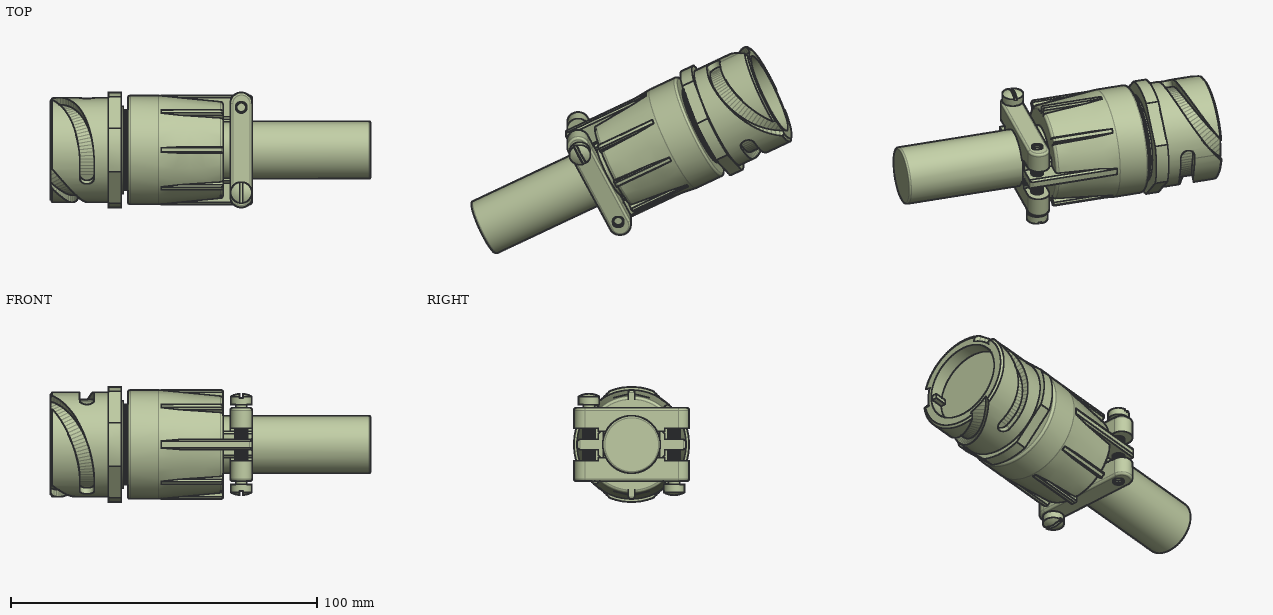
import cadquery as cq
import math


body_radius = 17.1
body_end = 18.9
rim_chamfer_axial = 0.6
rim_chamfer_radial = 0.9
bore_radius = 13.46
bore_depth = 5.0
key_tip_radius = 11.7
key_width = 1.7
key_front = 0.5

groove_count = 3
groove_width = 4.7
groove_floor_radius = 14.75
groove_cut_radius = body_radius + 1.5
groove_end_x = 11.9
groove_end_angle = math.radians(152.5)
groove_level_arc = 5.5
groove_curvature = 0.01275
groove_start_x = -4.0
groove_step_count = 32

flange_radius = 18.84
flange_across_flats = 34.72
flange_end = 23.1

collar_radius = 14.35
collar_end = 23.75
neck_radius = 13.2
neck_groove_radius = 12.8
neck_groove_width = 0.3
neck_groove_pitch = 0.45
neck_groove_count = 3

shell_radius = 17.8
shell_start = 25.25
shell_taper_start = 35.2
shell_end = 56.35
shell_end_radius = 15.75
shell_front_fillet = 0.8
shell_rear_fillet = 1.0

rib_count = 8
rib_start = 36.2
rib_width = 2.1
rib_root_radius = 14.0
rib_chamfer_width = 0.4
rib_end_fillet = 0.7
crest_chamfer_height = 0.75
lug_width = 3.3
lug_end = 65.8
lug_chamfer_width = 0.6
lug_end_fillet = 0.9
tongue_width = 8.6
tongue_root_radius = 9.2
tongue_outer_radius = 10.9
tongue_chamfer = 0.85

cable_radius = 9.4
cable_end = 104.44
cable_fillet = 0.6

bar_x = 62.25
bar_end_radius = 3.6
bar_half_length = 18.82
bar_top = 12.0
bar_bottom = 5.25
bar_fillet = 0.8
tip_hole_radius = 1.86
tip_hole_depth = 0.6
tip_bore_radius = 1.5
tip_bore_depth = 1.4

screw_y = 13.9
screw_head_radius = 3.45
screw_head_bottom = 13.0
screw_head_rim = 15.65
screw_head_top = 16.6
screw_slot_width = 1.0
screw_slot_depth = 1.4
screw_neck_radius = 1.85
thread_radius = 2.05
thread_groove_radius = 1.75
thread_pitch = 0.5
thread_groove_width = 0.25

overlap = 0.5


def x_cylinder(start, end, radius):
    return cq.Workplane("YZ", origin=(start, 0, 0)).circle(radius).extrude(end - start)


def block(x0, x1, y0, y1, z0, z1):
    return cq.Workplane("XY").box(x1 - x0, y1 - y0, z1 - z0, centered=False).translate((x0, y0, z0))


def z_cylinder(x, y, z0, z1, radius):
    return cq.Workplane("XY", origin=(x, y, z0)).circle(radius).extrude(z1 - z0)


def turned(shape, angle):
    return shape.rotate((0, 0, 0), (1, 0, 0), angle)


def make_body():
    body = (
        cq.Workplane("XY")
        .moveTo(0, 0)
        .lineTo(0, body_radius - rim_chamfer_radial)
        .lineTo(rim_chamfer_axial, body_radius)
        .lineTo(body_end + overlap, body_radius)
        .lineTo(body_end + overlap, 0)
        .close()
        .revolve(360, (0, 0, 0), (1, 0, 0))
    )
    body = body.cut(x_cylinder(0, bore_depth, bore_radius))
    key = block(
        key_front, bore_depth + overlap,
        key_tip_radius, bore_radius + overlap,
        -key_width / 2, key_width / 2,
    )
    return body.union(key)


def groove_path_point(arc_from_end):
    """Axial place and angle of the groove centre line, a given arc length before its closed end."""
    curved_arc = max(0.0, arc_from_end - groove_level_arc)
    x = groove_end_x - groove_curvature * curved_arc**2
    slope = 2 * groove_curvature * curved_arc
    angle = groove_end_angle - arc_from_end / body_radius
    return x, angle, slope


def groove_section(arc_from_end):
    """Four-cornered cross-section of the groove, square to its path."""
    x, angle, slope = groove_path_point(arc_from_end)
    outward = cq.Vector(0, -math.sin(angle), math.cos(angle))
    around = cq.Vector(0, -math.cos(angle), -math.sin(angle))
    across = (cq.Vector(1, 0, 0) - around * slope).normalized() * (groove_width / 2)
    centre = cq.Vector(x, 0, 0)
    floor = centre + outward * groove_floor_radius
    top = centre + outward * groove_cut_radius
    corners = [floor - across, floor + across, top + across, top - across]
    return cq.Wire.makePolygon(corners, close=True)


def make_groove_cutter():
    curved_arc = math.sqrt((groove_end_x - groove_start_x) / groove_curvature)
    path_arc = curved_arc + groove_level_arc
    sections = [
        groove_section(path_arc * step / groove_step_count)
        for step in range(groove_step_count + 1)
    ]
    channel = cq.Workplane(obj=cq.Solid.makeLoft(sections, True))
    round_end = z_cylinder(groove_end_x, 0, groove_floor_radius, groove_cut_radius, groove_width / 2)
    return channel.union(turned(round_end, math.degrees(groove_end_angle)))


def make_flange():
    disc = x_cylinder(body_end, flange_end, flange_radius)
    square = (
        cq.Workplane("YZ", origin=(body_end, 0, 0))
        .rect(flange_across_flats, flange_across_flats)
        .extrude(flange_end - body_end)
    )
    return disc.intersect(turned(square, 45))


def make_neck():
    collar = x_cylinder(flange_end - overlap, collar_end, collar_radius)
    neck = x_cylinder(flange_end - overlap, shell_start + overlap, neck_radius)
    for index in range(neck_groove_count):
        start = collar_end + neck_groove_pitch * index
        ring = x_cylinder(start, start + neck_groove_width, body_radius)
        neck = neck.cut(ring.cut(x_cylinder(start, start + neck_groove_width, neck_groove_radius)))
    return collar.union(neck)


def make_shell():
    shell = (
        cq.Workplane("XY")
        .moveTo(shell_start, 0)
        .lineTo(shell_start, shell_radius)
        .lineTo(shell_taper_start, shell_radius)
        .lineTo(shell_end, shell_end_radius)
        .lineTo(shell_end, 0)
        .close()
        .revolve(360, (0, 0, 0), (1, 0, 0))
    )
    shell = shell.faces("<X").edges().fillet(shell_front_fillet)
    return shell.faces(">X").edges().fillet(shell_rear_fillet)


def upright_bar(end, width, chamfer_width, end_fillet):
    """Bar standing on the +Z side, with a chamfered crest level with the shell and a rounded end."""
    half_width = width / 2
    half_crest = half_width - chamfer_width
    shoulder = shell_radius - crest_chamfer_height
    return (
        cq.Workplane("YZ", origin=(rib_start, 0, 0))
        .moveTo(-half_width, rib_root_radius)
        .lineTo(-half_width, shoulder)
        .lineTo(-half_crest, shell_radius)
        .lineTo(half_crest, shell_radius)
        .lineTo(half_width, shoulder)
        .lineTo(half_width, rib_root_radius)
        .close()
        .extrude(end - rib_start)
        .edges(">X and >Z").fillet(end_fillet)
    )


def make_rib():
    return upright_bar(shell_end, rib_width, rib_chamfer_width, rib_end_fillet)


def make_lug():
    """Rib on the +Z side that runs on past the shell, joined to the cable by a web and a tongue."""
    crest = upright_bar(lug_end, lug_width, lug_chamfer_width, lug_end_fillet)
    web = block(
        shell_end - overlap, lug_end,
        -lug_width / 2, lug_width / 2,
        tongue_root_radius, rib_root_radius,
    )
    tongue = block(
        shell_end - overlap, lug_end,
        -tongue_width / 2, tongue_width / 2,
        tongue_root_radius, tongue_outer_radius,
    )
    return crest.union(web).union(tongue.edges("|X and >Z").chamfer(tongue_chamfer))


def make_cable():
    cable = x_cylinder(shell_end - overlap, cable_end, cable_radius)
    return cable.faces(">X").edges().fillet(cable_fillet)


def make_clamp_bar():
    bar = (
        cq.Workplane("XY", origin=(bar_x, 0, bar_bottom))
        .slot2D(2 * bar_half_length, 2 * bar_end_radius, 90)
        .extrude(bar_top - bar_bottom)
        .faces(">Z").edges().fillet(bar_fillet)
    )
    saddle_pad = block(
        bar_x - bar_end_radius, bar_x + bar_end_radius,
        -tongue_outer_radius, tongue_outer_radius,
        tongue_width / 2, bar_bottom,
    )
    tip_hole = z_cylinder(bar_x, screw_y, bar_top - tip_hole_depth, bar_top, tip_hole_radius)
    tip_bore = z_cylinder(bar_x, screw_y, bar_top - tip_bore_depth, bar_top, tip_bore_radius)
    return bar.union(saddle_pad).cut(tip_hole).cut(tip_bore)


def make_screw():
    """Slotted screw, pointing down, from above the upper bar into the lower one."""
    dome_rise = screw_head_top - screw_head_rim
    dome_mid_x = screw_head_radius / 2
    dome_radius = (screw_head_radius**2 + dome_rise**2) / (2 * dome_rise)
    dome_mid_z = screw_head_top - dome_radius + math.sqrt(dome_radius**2 - dome_mid_x**2)
    head = (
        cq.Workplane("XZ")
        .moveTo(0, screw_head_bottom)
        .lineTo(screw_head_radius, screw_head_bottom)
        .lineTo(screw_head_radius, screw_head_rim)
        .threePointArc((dome_mid_x, dome_mid_z), (0, screw_head_top))
        .close()
        .revolve(360, (0, 0, 0), (0, 1, 0))
    )
    slot = block(
        -screw_slot_width / 2, screw_slot_width / 2,
        -screw_head_radius, screw_head_radius,
        screw_head_top - screw_slot_depth, screw_head_top,
    )
    neck = z_cylinder(0, 0, bar_top - overlap, screw_head_bottom, screw_neck_radius)
    thread_end = bar_bottom + overlap
    thread = z_cylinder(0, 0, -thread_end, thread_end, thread_radius)
    groove = (
        z_cylinder(0, 0, 0, thread_groove_width, 2 * thread_radius)
        .cut(z_cylinder(0, 0, 0, thread_groove_width, thread_groove_radius))
    )
    for index in range(math.floor(2 * bar_bottom / thread_pitch)):
        thread = thread.cut(groove.translate((0, 0, -bar_bottom + thread_pitch * index)))
    screw = head.cut(slot).union(neck).union(thread)
    return screw.translate((bar_x, -screw_y, 0))


def make_plug():
    plug = make_body()
    groove_cutter = make_groove_cutter()
    for index in range(groove_count):
        plug = plug.cut(turned(groove_cutter, 360 / groove_count * index))
    for section in (make_flange(), make_neck(), make_shell(), make_cable()):
        plug = plug.union(section)
    rib = make_rib()
    for index in range(rib_count):
        plug = plug.union(turned(rib, 360 / rib_count * index))
    lug = make_lug()
    clamp_half = make_clamp_bar().union(make_screw())
    for angle in (0, 180):
        plug = plug.union(turned(lug, angle + 90))
        plug = plug.union(turned(clamp_half, angle))
    return plug


result = make_plug()